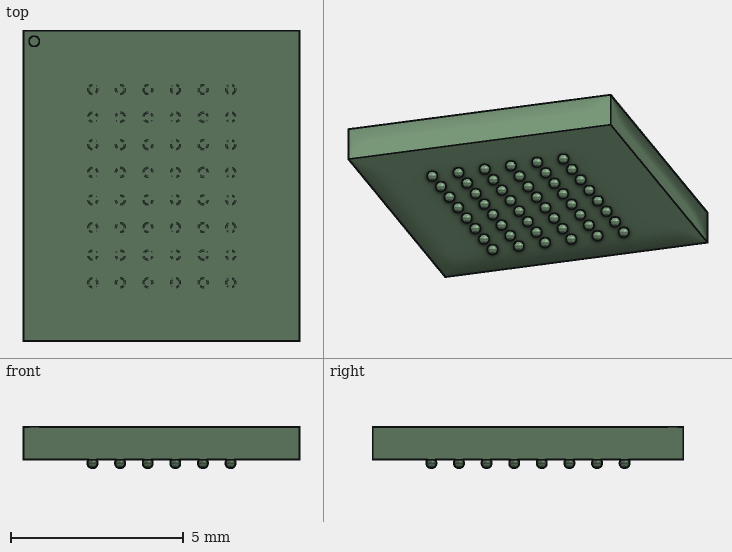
import cadquery as cq

body_x = 8.0
body_y = 9.0
total_height = 1.21

ball_diameter = 0.3
ball_standoff = 0.25
ball_pitch = 0.8
balls_along_x = 6
balls_along_y = 8

mark_diameter = 0.3
mark_edge_distance = 0.31
mark_height = 0.01

body_bottom = ball_standoff
body_top = total_height - mark_height


def make_body():
    body = cq.Workplane("XY").workplane(offset=body_bottom)
    return body.rect(body_x, body_y).extrude(body_top - body_bottom)


def make_balls():
    """Full grid of balls, centred under the body."""
    grid = cq.Workplane("XY").workplane(offset=ball_diameter / 2)
    grid = grid.rarray(ball_pitch, ball_pitch, balls_along_x, balls_along_y)
    return grid.sphere(ball_diameter / 2, combine=False)


def make_pin_one_mark():
    """Raised disc at the -X, +Y corner."""
    mark_x = -body_x / 2 + mark_edge_distance
    mark_y = body_y / 2 - mark_edge_distance
    mark = cq.Workplane("XY").workplane(offset=body_top)
    return mark.center(mark_x, mark_y).circle(mark_diameter / 2).extrude(mark_height)


result = make_body().union(make_balls()).union(make_pin_one_mark())